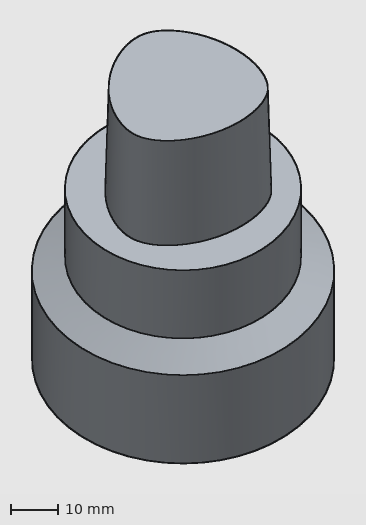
import cadquery as cq
import math

total_height = 80
body_diameter = 64
collar_diameter = 50.0
collar_height = 20
shank_height = 30.0
shoulder_angle = 30

shank_base_width = 35.2
shank_taper = 1 / 20
lobe_offset = 1.1
outline_points = 48

body_radius = body_diameter / 2
collar_radius = collar_diameter / 2
shank_z = total_height - shank_height
shoulder_top_z = shank_z - collar_height
shoulder_height = (body_radius - collar_radius) * math.tan(math.radians(shoulder_angle))
shoulder_bottom_z = shoulder_top_z - shoulder_height
shank_top_width = shank_base_width - shank_taper * shank_height


def lobed_point(width, angle):
    """Point of the three-lobed outline whose normal is at angle; one lobe points to -Y."""
    reach = width / 2 + lobe_offset * math.sin(3 * angle)
    slope = 3 * lobe_offset * math.cos(3 * angle)
    x = reach * math.cos(angle) - slope * math.sin(angle)
    y = reach * math.sin(angle) + slope * math.cos(angle)
    return (x, y)


def lobed_outline(width):
    step = 2 * math.pi / outline_points
    return [lobed_point(width, i * step) for i in range(outline_points)]


def make_body():
    """Revolved body: large base, conical shoulder and collar."""
    return (
        cq.Workplane("XZ")
        .lineTo(body_radius, 0)
        .lineTo(body_radius, shoulder_bottom_z)
        .lineTo(collar_radius, shoulder_top_z)
        .lineTo(collar_radius, shank_z)
        .lineTo(0, shank_z)
        .close()
        .revolve(360, (0, 0, 0), (0, 1, 0))
    )


def make_shank():
    """Shank lofted from the collar face to its smaller top section."""
    return (
        cq.Workplane("XY", origin=(0, 0, shank_z))
        .spline(lobed_outline(shank_base_width), periodic=True)
        .close()
        .workplane(offset=shank_height)
        .spline(lobed_outline(shank_top_width), periodic=True)
        .close()
        .loft(ruled=True, combine=True)
    )


result = make_body().union(make_shank())